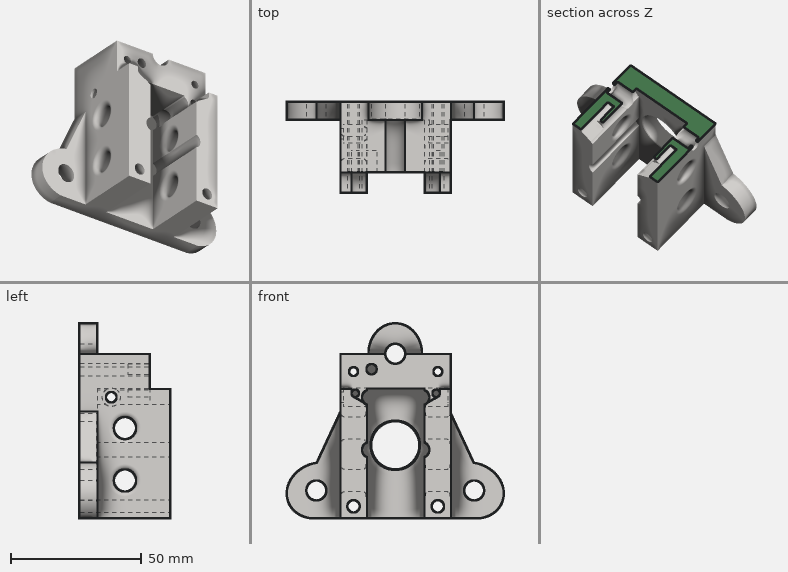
import cadquery as cq
import math


body_center_x = 0.2
half_width = 21.2
block_top = 63.15
block_depth = 27.2
wall_depth = 35.0
wall_top = 49.6

slot_half_width = 11.1
slot_top = 49.8
plate_depth = 7.0
slot_floor_depth = plate_depth

top_lug_half_width = 10.35
part_height = 74.9
lug_hole_diameter = 7.6

side_reach = 41.7
lug_hole_x = 30.3
lug_hole_z = 10.7
lug_long_radius = 12.5
lug_short_radius = 10.6
lug_tilt = 20.0
gusset_foot_x = 30.2
gusset_foot_z = 21.3
gusset_top = 41.0

bore_diameter = 18.4
bore_rim_diameter = 19.0
bore_z = 28.0

screw_x = 16.2
block_screw_diameter = 3.3
block_screw_z = 56.3
wall_screw_diameter = 4.7
wall_screw_z = 4.6
pin_hole_diameter = 4.0
pin_hole_x = -9.3
pin_hole_z = 57.2
pin_hole_length = 8.35

cross_hole_diameter = 8.4
cross_rim_diameter = 12.35
cross_hole_depth = 17.6
cross_hole_heights = (14.5, 34.6)
small_cross_diameter = 4.0
small_cross_depth = 12.35
small_cross_z = 46.5
pocket_diameter = 7.0
pocket_web = 1.1

groove_radius = 3.0
groove_center_x = 9.9
groove_heights = (26.3, 46.4)

notch_radius = 1.46
notch_center_x = 15.5
notch_center_z = 48.0
ramp_angle = 30.0
notch_hole_length = 8.35


def prism(sketch_points, start_depth, end_depth):
    plane = cq.Workplane("XZ", origin=(0, -start_depth, 0))
    return plane.polyline(sketch_points).close().extrude(end_depth - start_depth)


def box(x_min, x_max, z_min, z_max, start_depth, end_depth):
    corners = [(x_min, z_min), (x_max, z_min), (x_max, z_max), (x_min, z_max)]
    return prism(corners, start_depth, end_depth)


def rod_along_y(diameter, x, z, start_depth, end_depth):
    plane = cq.Workplane("XZ", origin=(0, -start_depth, 0))
    return plane.center(x, z).circle(diameter / 2).extrude(end_depth - start_depth)


def rod_along_x(diameter, start_x, end_x, depth, z):
    plane = cq.Workplane("YZ", origin=(start_x, -depth, z))
    return plane.circle(diameter / 2).extrude(end_x - start_x)


def on_both_sides(shape):
    """Shape and its mirror image about X = 0."""
    return shape.union(shape.mirror("YZ"))


def on_body(shape):
    """Shape moved from X = 0 to the middle plane of the body."""
    return shape.translate((body_center_x, 0, 0))


def side_lug():
    """Left lug: a tilted ellipse cut flat at the base, and a gusset leaning on the body."""
    tilt = math.radians(lug_tilt)
    ellipse_reach = math.hypot(lug_long_radius * math.cos(tilt), lug_short_radius * math.sin(tilt))
    lug = (
        cq.Workplane("XZ")
        .center(-side_reach + ellipse_reach, lug_hole_z)
        .ellipse(lug_long_radius, lug_short_radius, rotation_angle=lug_tilt)
        .extrude(plate_depth)
    )
    lug = lug.intersect(box(-side_reach, 0, 0, gusset_top, 0, plate_depth))
    gusset_corners = [
        (-gusset_foot_x, 0),
        (-gusset_foot_x, gusset_foot_z),
        (-half_width + body_center_x, gusset_top),
        (-slot_half_width, gusset_top),
        (-slot_half_width, 0),
    ]
    return lug.union(prism(gusset_corners, 0, plate_depth))


def top_lug():
    """Half-elliptical lug standing on top of the block."""
    outline = cq.Workplane("XZ").center(0, block_top)
    return outline.ellipse(top_lug_half_width, part_height - block_top).extrude(plate_depth)


def main_bore():
    """Through bore with a narrow chamfer at the slot floor."""
    chamfer = (bore_rim_diameter - bore_diameter) / 2
    bore = rod_along_y(bore_diameter, 0, bore_z, 0, slot_floor_depth)
    rim = (
        cq.Workplane("XZ", origin=(0, -slot_floor_depth, 0))
        .center(0, bore_z)
        .circle(bore_rim_diameter / 2)
        .extrude(-chamfer, taper=45)
    )
    return bore.union(rim)


def notch():
    """Left notch: a round-bottomed pocket with a tangent ramp down to the slot wall, and its blind hole."""
    ramp = math.radians(ramp_angle)
    outer_x = -notch_center_x - notch_radius
    tangent_x = -notch_center_x - notch_radius * math.sin(ramp)
    tangent_z = notch_center_z - notch_radius * math.cos(ramp)
    ramp_foot_z = tangent_z - (-slot_half_width - tangent_x) * math.tan(ramp)
    pocket = (
        cq.Workplane("XZ", origin=(0, -block_depth, 0))
        .moveTo(outer_x, wall_top)
        .lineTo(outer_x, notch_center_z)
        .radiusArc((tangent_x, tangent_z), -notch_radius)
        .lineTo(-slot_half_width, ramp_foot_z)
        .lineTo(-slot_half_width, wall_top)
        .close()
        .extrude(wall_depth - block_depth)
    )
    hole_start = block_depth - notch_hole_length
    hole = rod_along_y(2 * notch_radius, -notch_center_x, notch_center_z, hole_start, block_depth)
    return pocket.union(hole)


def flared_cross_hole(z):
    """Hole across both walls, with the edges at all four wall faces rounded outwards."""
    flare = (cross_rim_diameter - cross_hole_diameter) / 2
    hole_radius = cross_hole_diameter / 2
    rim_radius = cross_rim_diameter / 2
    bulge = flare * (1 - math.sqrt(0.5))
    wall_cut = (
        cq.Workplane("XY")
        .moveTo(-half_width, 0)
        .lineTo(-half_width, rim_radius)
        .threePointArc(
            (-half_width + bulge, hole_radius + bulge),
            (-half_width + flare, hole_radius),
        )
        .lineTo(-slot_half_width - flare, hole_radius)
        .threePointArc(
            (-slot_half_width - bulge, hole_radius + bulge),
            (-slot_half_width, rim_radius),
        )
        .lineTo(-slot_half_width, 0)
        .close()
        .revolve(360, (0, 0, 0), (1, 0, 0))
    )
    return on_both_sides(wall_cut.translate((0, -cross_hole_depth, z)))


def small_cross_hole():
    """Small hole across both walls that widens to a pocket behind a thin outer web."""
    hole = rod_along_x(small_cross_diameter, -half_width, half_width, small_cross_depth, small_cross_z)
    pocket_end = half_width - pocket_web
    pocket = rod_along_x(pocket_diameter, slot_half_width, pocket_end, small_cross_depth, small_cross_z)
    return hole.union(on_both_sides(pocket))


body = box(-half_width, half_width, 0, block_top, 0, block_depth)
body = body.union(box(-half_width, half_width, 0, wall_top, 0, wall_depth))
result = on_body(body).union(on_both_sides(side_lug())).union(top_lug())

slot = box(-slot_half_width, slot_half_width, 0, slot_top, slot_floor_depth, wall_depth)
result = result.cut(on_body(slot))
for groove_z in groove_heights:
    groove = rod_along_y(2 * groove_radius, -groove_center_x, groove_z, slot_floor_depth, wall_depth)
    result = result.cut(on_body(on_both_sides(groove)))
result = result.cut(on_body(on_both_sides(notch())))

result = result.cut(main_bore())
result = result.cut(rod_along_y(lug_hole_diameter, 0, block_top, 0, block_depth))
lug_hole = rod_along_y(lug_hole_diameter, -lug_hole_x, lug_hole_z, 0, plate_depth)
result = result.cut(on_both_sides(lug_hole))
block_screw = rod_along_y(block_screw_diameter, -screw_x, block_screw_z, 0, block_depth)
result = result.cut(on_body(on_both_sides(block_screw)))
wall_screw = rod_along_y(wall_screw_diameter, -screw_x, wall_screw_z, 0, wall_depth)
result = result.cut(on_body(on_both_sides(wall_screw)))
pin_hole_start = block_depth - pin_hole_length
pin_hole = rod_along_y(pin_hole_diameter, pin_hole_x, pin_hole_z, pin_hole_start, block_depth)
result = result.cut(on_body(pin_hole))

for cross_z in cross_hole_heights:
    result = result.cut(on_body(flared_cross_hole(cross_z)))
result = result.cut(on_body(small_cross_hole()))